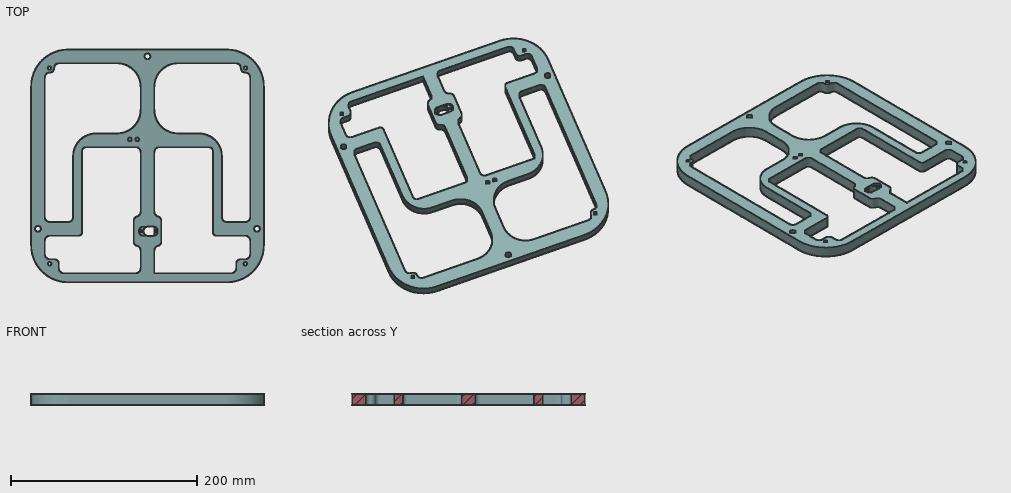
import cadquery as cq
import math

side = 250
thickness = 12.0
corner_radius = 40
half_side = side / 2

rail_width = 15
bottom_rail_width = 10
inner_edge = half_side - rail_width
bottom_edge = -half_side + bottom_rail_width
column_half_width = 7.5

bridge_top = 35
bridge_bottom = 20
leg_outer = 80
leg_inner = 70
shoulder_radius = 25

arm_top = -60
arm_bottom = -75

boss_edge = 100
lower_boss_edge = 95

pad_center_y = -70
pad_half_width = 15
pad_flat_half_length = 11.0
pad_blend_radius = 5

corner_fillet = 5
bend_fillet = 4.0

corner_hole_diameter = 3.5
corner_hole_offset = 105
mount_hole_diameter = 6.0
mount_hole_offset = half_side - rail_width / 2
mount_hole_y = (arm_top + arm_bottom) / 2
bridge_hole_diameter = 4.0
bridge_hole_depth = 6.0
bridge_hole_y = 28.5
bridge_hole_xs = (-19.0, -11.0)

slot_length = 20.5
slot_width = 10
slot_center_x = 1.0
slot_depth = 3.0
opening_left = -4.2
opening_right = 7.5
opening_fillet = 2.0
screw_hole_diameter = 2.0
screw_hole_spacing = 15.5

tolerance = 2.5e-06


def unit_vector(tail, tip):
    """Direction from one point to another."""
    length = math.dist(tail[:2], tip[:2])
    return (tip[0] - tail[0]) / length, (tip[1] - tail[1]) / length


def rounded_window(corners):
    """Cutter through the plate from right-angled corners (x, y, radius); a zero radius stays sharp."""
    arcs = []
    for i, (x, y, radius) in enumerate(corners):
        before = corners[i - 1]
        after = corners[(i + 1) % len(corners)]
        in_x, in_y = unit_vector(before, (x, y))
        out_x, out_y = unit_vector((x, y), after)
        inset = radius * (1 - math.sqrt(0.5))
        start = (x - radius * in_x, y - radius * in_y)
        middle = (x + inset * (out_x - in_x), y + inset * (out_y - in_y))
        end = (x + radius * out_x, y + radius * out_y)
        arcs.append((start, middle, end))

    current = arcs[-1][2]
    outline = cq.Workplane("XY").moveTo(*current)
    for start, middle, end in arcs:
        if math.dist(current, start) > tolerance:
            outline = outline.lineTo(*start)
        if math.dist(start, end) > tolerance:
            outline = outline.threePointArc(middle, end)
        current = end
    return outline.close().extrude(thickness)


def upper_window(sign):
    """Window beside the upper column, running down outside the leg."""
    return rounded_window([
        (sign * boss_edge, inner_edge, corner_fillet),
        (sign * column_half_width, inner_edge, shoulder_radius),
        (sign * column_half_width, bridge_top, shoulder_radius),
        (sign * leg_outer, bridge_top, shoulder_radius),
        (sign * leg_outer, arm_top, corner_fillet),
        (sign * inner_edge, arm_top, corner_fillet),
        (sign * inner_edge, boss_edge, corner_fillet),
        (sign * boss_edge, boss_edge, corner_fillet),
    ])


def lower_window(sign, column_foot_radius):
    """Window below the bridge, reaching under the arm."""
    return rounded_window([
        (sign * leg_inner, bridge_bottom, bend_fillet),
        (sign * column_half_width, bridge_bottom, corner_fillet),
        (sign * column_half_width, bottom_edge, column_foot_radius),
        (sign * lower_boss_edge, bottom_edge, corner_fillet),
        (sign * lower_boss_edge, -boss_edge, corner_fillet),
        (sign * inner_edge, -boss_edge, corner_fillet),
        (sign * inner_edge, arm_bottom, corner_fillet),
        (sign * leg_inner, arm_bottom, bend_fillet),
    ])


def pad():
    """Widening of the column whose sides blend into it through S-shaped pairs of tangent arcs."""
    blend_middle_x = (pad_half_width + column_half_width) / 2
    turn = math.acos(1 - (pad_half_width - blend_middle_x) / pad_blend_radius)
    rise = pad_blend_radius * math.sin(turn)
    flat = pad_flat_half_length
    quarter = (
        cq.Workplane("XY")
        .lineTo(pad_half_width, 0)
        .lineTo(pad_half_width, flat)
        .tangentArcPoint((blend_middle_x, flat + rise), relative=False)
        .tangentArcPoint((column_half_width, flat + 2 * rise), relative=False)
        .lineTo(0, flat + 2 * rise)
        .close()
        .extrude(thickness)
    )
    half = quarter.union(quarter.mirror("YZ"))
    return half.union(half.mirror("XZ")).translate((0, pad_center_y, 0))


def drill(points, diameter, depth):
    """Cutter for round holes sunk from the top face."""
    return (
        cq.Workplane("XY", origin=(0, 0, thickness - depth))
        .pushPoints(points)
        .circle(diameter / 2)
        .extrude(depth)
    )


def slot_cutter():
    """Shallow round-ended recess with a through opening, round at -X and flat with filleted corners at +X."""
    recess = (
        cq.Workplane("XY", origin=(slot_center_x, pad_center_y, thickness - slot_depth))
        .slot2D(slot_length, slot_width)
        .extrude(slot_depth)
    )
    radius = slot_width / 2
    arc_x = opening_left + radius
    opening = (
        cq.Workplane("XY")
        .moveTo(opening_right, pad_center_y + radius)
        .lineTo(arc_x, pad_center_y + radius)
        .threePointArc((opening_left, pad_center_y), (arc_x, pad_center_y - radius))
        .lineTo(opening_right, pad_center_y - radius)
        .close()
        .extrude(thickness)
        .edges("|Z and >X")
        .fillet(opening_fillet)
    )
    return recess.union(opening)


plate = cq.Workplane("XY").rect(side, side).extrude(thickness).edges("|Z").fillet(corner_radius)

plate = plate.cut(upper_window(-1)).cut(upper_window(1))
plate = plate.cut(lower_window(-1, corner_fillet)).cut(lower_window(1, 0))

plate = plate.union(pad())

corner_points = [(i * corner_hole_offset, j * corner_hole_offset) for i in (-1, 1) for j in (-1, 1)]
mount_points = [(0, mount_hole_offset), (-mount_hole_offset, mount_hole_y), (mount_hole_offset, mount_hole_y)]
plate = plate.cut(drill(corner_points, corner_hole_diameter, thickness))
plate = plate.cut(drill(mount_points, mount_hole_diameter, thickness))

bridge_points = [(x, bridge_hole_y) for x in bridge_hole_xs]
plate = plate.cut(drill(bridge_points, bridge_hole_diameter, bridge_hole_depth))

screw_points = [(slot_center_x + i * screw_hole_spacing / 2, pad_center_y) for i in (-1, 1)]
plate = plate.cut(slot_cutter())
plate = plate.cut(drill(screw_points, screw_hole_diameter, thickness))

result = plate